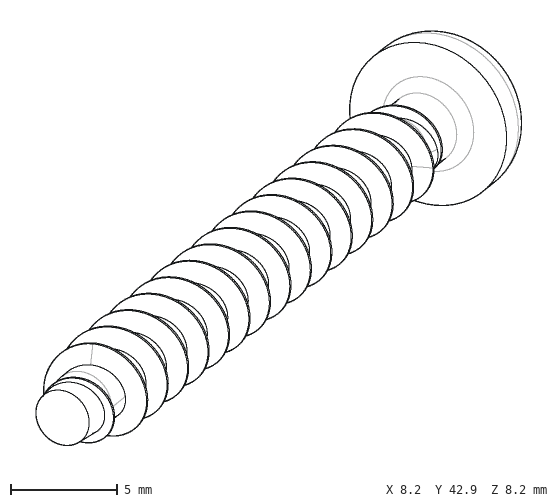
import cadquery as cq
import math


total_length = 42.9
head_diameter = 8.2
head_height = 2.87
head_edge_radius = 1.6
neck_diameter = 3.55
neck_radius = neck_diameter / 2
neck_fillet = 0.6
neck_end = 5.3
neck_taper_length = 0.85
core_diameter = 3.1
core_radius = core_diameter / 2
tip_diameter = 2.8
tip_radius = tip_diameter / 2
tip_taper_length = 2.15

crest_radius = 2.55
quarter_turn = 1 / 4
run_in_turns = 5 * quarter_turn
full_turns = 57 * quarter_turn
run_out_turns = 5 * quarter_turn
thread_full_start = 7.6
thread_full_end = 39.5
pitch = (thread_full_end - thread_full_start) / full_turns
root_half_width = 0.4
root_overlap = 0.3
crest_overlap = 0.05
crest_half_width = 0.065
root_radius = core_radius - root_overlap
run_in_radius = neck_radius - crest_overlap
run_out_radius = tip_radius


def make_body():
    """Head, filleted neck and tapered core as one revolved profile."""
    head_radius = head_diameter / 2
    diagonal = math.sqrt(0.5)
    edge_mid = (
        head_radius - head_edge_radius * (1 - diagonal),
        head_edge_radius * (1 - diagonal),
    )
    fillet_mid = (
        neck_radius + neck_fillet * (1 - diagonal),
        head_height + neck_fillet * (1 - diagonal),
    )
    return (
        cq.Workplane("XZ")
        .moveTo(0, 0)
        .lineTo(head_radius - head_edge_radius, 0)
        .threePointArc(edge_mid, (head_radius, head_edge_radius))
        .lineTo(head_radius, head_height)
        .lineTo(neck_radius + neck_fillet, head_height)
        .threePointArc(fillet_mid, (neck_radius, head_height + neck_fillet))
        .lineTo(neck_radius, neck_end)
        .lineTo(core_radius, neck_end + neck_taper_length)
        .lineTo(core_radius, total_length - tip_taper_length)
        .lineTo(tip_radius, total_length)
        .lineTo(0, total_length)
        .close()
        .revolve(360, (0, 0, 0), (0, 1, 0))
    )


def helix(turns, start_radius, end_radius, offset):
    """Helical wire from height `offset`, on a cylinder or a cone."""
    height = turns * pitch
    if start_radius == end_radius:
        wire = cq.Wire.makeHelix(pitch, height, start_radius)
    else:
        cone_angle = math.atan2(end_radius - start_radius, height)
        slant = 1 / math.cos(cone_angle)
        wire = cq.Wire.makeHelix(
            pitch * slant, height * slant, start_radius, angle=math.degrees(cone_angle)
        )
    return wire.translate(cq.Vector(0, 0, offset))


def make_thread(turns_from_full_start, turns, start_crest, end_crest):
    """Thread stretch whose crest radius changes evenly from start to end."""
    edges = [
        helix(turns, root_radius, root_radius, -root_half_width),
        helix(turns, start_crest, end_crest, -crest_half_width),
        helix(turns, start_crest, end_crest, crest_half_width),
        helix(turns, root_radius, root_radius, root_half_width),
    ]
    faces = []
    for index, edge in enumerate(edges):
        next_edge = edges[(index + 1) % len(edges)]
        faces.append(cq.Face.makeRuledSurface(edge, next_edge))
    for position in (0, 1):
        corners = [edge.positionAt(position) for edge in edges]
        faces.append(cq.Face.makeFromWires(cq.Wire.makePolygon(corners, close=True)))
    thread = cq.Solid.makeSolid(cq.Shell.makeShell(faces))
    thread = cq.Workplane(thread.fix())
    start = thread_full_start + turns_from_full_start * pitch
    start_angle = 360 * turns_from_full_start
    return thread.rotate((0, 0, 0), (0, 0, 1), start_angle).translate((0, 0, start))


run_in = make_thread(-run_in_turns, run_in_turns, run_in_radius, crest_radius)
full_thread = make_thread(0, full_turns, crest_radius, crest_radius)
run_out = make_thread(full_turns, run_out_turns, crest_radius, run_out_radius)

screw = make_body().union(full_thread).union(run_in).union(run_out)
result = screw.rotate((0, 0, 0), (1, 0, 0), 90)